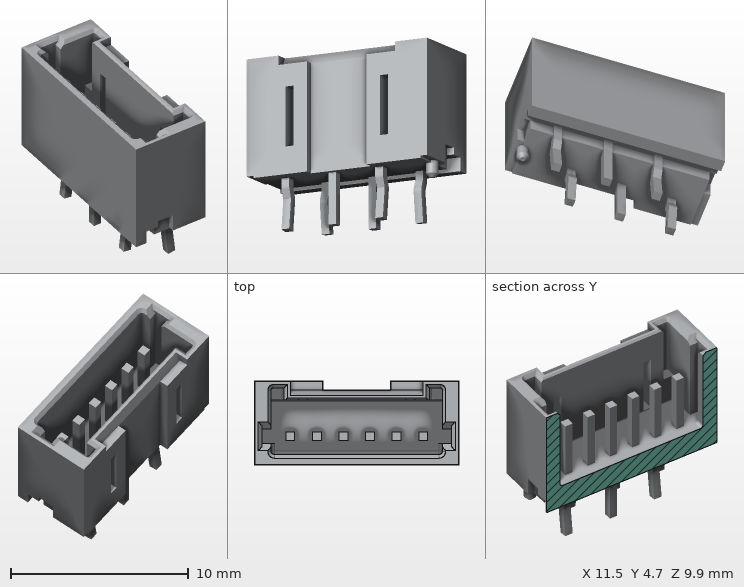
import cadquery as cq
import math


length = 11.5
width = 4.7
height = 6.9
half_length = length / 2

cavity_half_x = 4.82
cavity_front_y = 0.58
cavity_back_y = 3.66
floor_z = 1.5
front_radius = 0.2
back_floor_radius = 0.1

pocket_inner_x = 4.1
pocket_back_y = 4.31
pocket_floor_z = 3.27
pocket_floor_radius = 0.1
pocket_corner_radius = 0.1

rim_depth = 0.21
side_flare = 0.17
end_flare = 0.21
back_wall_flare = 0.1
front_rim_radius = 0.37
pocket_rim_radius = 0.3

key_half_x = 5.34
key_front_y = 1.21
key_back_y = 2.01
key_flare = 0.4

ledge_half_x = 3.73
ledge_y = 4.2
ledge_z = 6.36
ramp_top_y = 3.91
back_notch_half_x = 1.91
window_inner_x = 2.76
window_outer_x = 3.27
window_bottom_z = floor_z + back_floor_radius
window_top_z = 5.06

channel_front_y = 0.71
channel_back_y = 1.5
channel_height = 0.8
end_notch_depth = 0.43
end_notch_back_y = 2.51
end_notch_height = 1.21
end_relief_height = 0.13

peg_x = -5.23
peg_y = 3.09
peg_radius = 0.36
peg_tip_radius = 0.15
peg_cone_z = -0.6
peg_tip_z = -0.8

pin_count = 6
pin_pitch = 1.5
pin_size = 0.5
pin_top_z = 5.0
front_row_y = 1.61
row_spacing = 2.0
leg_bottom_z = -3.0
kinked_pins = (0, 1, 4, 5)
kink_start_z = -0.47
kink_angle = math.radians(20)
kink_run = 0.55
return_angle = math.radians(7)


def box(x0, x1, y0, y1, z0, z1):
    return cq.Workplane("XY").box(x1 - x0, y1 - y0, z1 - z0, centered=False).translate((x0, y0, z0))


def both_ends(solid):
    """The solid together with its mirror image at the other end of the housing."""
    return solid.union(solid.mirror("YZ"))


def frustum(x0, x1, y0, y1, flare_x, flare_y, depth):
    """Rectangle at the given depth below the top face, growing by the flares up to the top face."""
    size_x = x1 - x0
    size_y = y1 - y0
    return (
        cq.Workplane("XY", origin=((x0 + x1) / 2, (y0 + y1) / 2, height - depth))
        .rect(size_x, size_y)
        .workplane(offset=depth)
        .rect(size_x + 2 * flare_x, size_y + 2 * flare_y)
        .loft(ruled=True)
    )


def rounded_outline(half_x, y0, y1, front_r, back_r, z):
    """Rectangle with one corner radius at the front and another at the back."""
    front_cut = front_r * (1 - math.sqrt(0.5))
    back_cut = back_r * (1 - math.sqrt(0.5))
    return (
        cq.Workplane("XY", origin=(0, 0, z))
        .moveTo(-half_x + front_r, y0)
        .lineTo(half_x - front_r, y0)
        .threePointArc((half_x - front_cut, y0 + front_cut), (half_x, y0 + front_r))
        .lineTo(half_x, y1 - back_r)
        .threePointArc((half_x - back_cut, y1 - back_cut), (half_x - back_r, y1))
        .lineTo(-half_x + back_r, y1)
        .threePointArc((-half_x + back_cut, y1 - back_cut), (-half_x, y1 - back_r))
        .lineTo(-half_x, y0 + front_r)
        .threePointArc((-half_x + front_cut, y0 + front_cut), (-half_x + front_r, y0))
        .close()
        .wires()
        .val()
    )


def cavity_rim():
    """Flared mouth of the cavity and pockets, less the back wall standing between the pockets."""
    lower = rounded_outline(
        cavity_half_x,
        cavity_front_y,
        pocket_back_y,
        front_radius,
        pocket_corner_radius,
        height - rim_depth,
    )
    upper = rounded_outline(
        cavity_half_x + side_flare,
        cavity_front_y - end_flare,
        pocket_back_y + end_flare,
        front_rim_radius,
        pocket_rim_radius,
        height,
    )
    mouth = cq.Workplane(cq.Solid.makeLoft([lower, upper], True))
    back_wall = frustum(-pocket_inner_x, pocket_inner_x, cavity_back_y, width, -end_flare, 0, rim_depth)
    back_wall_chamfer = (
        cq.Workplane("YZ")
        .polyline(
            [
                (cavity_back_y, height - back_wall_flare),
                (cavity_back_y, height),
                (cavity_back_y + back_wall_flare, height),
            ]
        )
        .close()
        .extrude(pocket_inner_x, both=True)
    )
    return mouth.cut(back_wall).union(back_wall_chamfer)


def cavity():
    """Straight part of the cavity; only its front part has rounded corners and floor edges."""
    front = box(-cavity_half_x, cavity_half_x, cavity_front_y, key_front_y, floor_z, height - rim_depth)
    front = front.edges("|Z and <Y").fillet(front_radius)
    front = front.faces("<Z").edges("not >Y").fillet(front_radius)
    back = box(-cavity_half_x, cavity_half_x, key_front_y, cavity_back_y, floor_z, height - rim_depth)
    back = back.edges("<Z and >Y").fillet(back_floor_radius)
    return front.union(back)


def pocket():
    """Corner pocket at the +X end."""
    body = box(pocket_inner_x, cavity_half_x, cavity_back_y, pocket_back_y, pocket_floor_z, height - rim_depth)
    body = body.edges("|Z and >X and >Y").fillet(pocket_corner_radius)
    return body.edges("<Z and <X").fillet(pocket_floor_radius)


def key_slot():
    """Key slot at the +X end, with its flared mouth."""
    slot = box(0, key_half_x, key_front_y, key_back_y, floor_z, height)
    side_mouth = frustum(0, key_half_x + end_flare, key_front_y, key_back_y, 0, key_flare, key_flare)
    flared_front_y = key_front_y - key_flare
    flared_back_y = key_back_y + key_flare
    end_mouth = frustum(0, key_half_x, flared_front_y, flared_back_y, end_flare, 0, end_flare)
    end_limit = box(0, key_half_x, 0, width, 0, height).union(end_mouth)
    return slot.union(side_mouth.intersect(end_limit))


def back_ledge():
    """Material above the ledge and its ramp, on the outside of the back wall."""
    return (
        cq.Workplane("YZ")
        .polyline([(ledge_y, ledge_z), (width, ledge_z), (width, height), (ramp_top_y, height)])
        .close()
        .extrude(ledge_half_x, both=True)
    )


def back_notch():
    """Full-height notch across the middle of the back face."""
    return box(-back_notch_half_x, back_notch_half_x, ledge_y, width, 0, height)


def window():
    """Narrow slot through the back wall at the +X end, starting above the floor fillet."""
    return box(window_inner_x, window_outer_x, cavity_back_y, width, window_bottom_z, window_top_z)


def underside():
    """Cross channel behind the front wall, end-wall notches and the shallow relief behind them."""
    channel = box(-half_length, half_length, channel_front_y, channel_back_y, 0, channel_height)
    notch_x = half_length - end_notch_depth
    notch = box(notch_x, half_length, channel_front_y, end_notch_back_y, 0, channel_height)
    notch = notch.union(box(notch_x, half_length, channel_back_y, end_notch_back_y, 0, end_notch_height))
    relief = box(notch_x, half_length, end_notch_back_y, width, 0, end_relief_height)
    return channel.union(both_ends(notch.union(relief)))


def peg():
    """Round locating peg with a conical tip, rooted in the housing."""
    return (
        cq.Workplane("XZ", origin=(peg_x, peg_y, 0))
        .polyline(
            [
                (0, end_notch_height),
                (peg_radius, end_notch_height),
                (peg_radius, peg_cone_z),
                (peg_tip_radius, peg_tip_z),
                (0, peg_tip_z),
            ]
        )
        .close()
        .revolve(360, (0, 0, 0), (0, 1, 0))
    )


def kinked_leg():
    """Leg centred on the origin, bowed towards +Y; each bend turns about its inner corner."""
    half = pin_size / 2

    def around(corner, angle):
        return (corner[0] + pin_size * math.cos(angle), corner[1] + pin_size * math.sin(angle))

    first = (half, kink_start_z)
    first_mid = around(first, math.pi + kink_angle / 2)
    first_end = around(first, math.pi + kink_angle)
    second = (
        first_end[0] + kink_run * math.sin(kink_angle),
        first_end[1] - kink_run * math.cos(kink_angle),
    )
    second_start = around(second, kink_angle)
    second_mid = around(second, (kink_angle - return_angle) / 2)
    second_end = around(second, -return_angle)
    tip_run = (second_end[1] - leg_bottom_z) / math.cos(return_angle)
    tip_shift_y = -tip_run * math.sin(return_angle)
    return (
        cq.Workplane("YZ")
        .moveTo(half, floor_z)
        .lineTo(-half, floor_z)
        .lineTo(-half, kink_start_z)
        .threePointArc(first_mid, first_end)
        .lineTo(*second)
        .lineTo(second[0] + tip_shift_y, second[1] + leg_bottom_z - second_end[1])
        .lineTo(second_end[0] + tip_shift_y, leg_bottom_z)
        .lineTo(*second_end)
        .threePointArc(second_mid, second_start)
        .lineTo(*first)
        .close()
        .extrude(half, both=True)
    )


def contact(index):
    """Post in the cavity and its leg; legs alternate between the front and the back row."""
    half = pin_size / 2
    x = (index - (pin_count - 1) / 2) * pin_pitch
    in_back_row = index % 2 == 1
    if index in kinked_pins:
        leg = kinked_leg()
    else:
        leg = box(-half, half, -half, half, leg_bottom_z, floor_z)
    if in_back_row:
        leg = leg.mirror("XZ").translate((0, row_spacing, 0))
    post = box(-half, half, -half, half, channel_height, pin_top_z)
    return post.union(leg).translate((x, front_row_y, 0))


housing = box(-half_length, half_length, 0, width, 0, height)
housing = housing.cut(cavity()).cut(cavity_rim())
housing = housing.cut(both_ends(pocket())).cut(both_ends(key_slot()))
housing = housing.cut(back_ledge())
housing = housing.cut(back_notch())
housing = housing.cut(both_ends(window()))
housing = housing.cut(underside())

result = housing.union(peg())
for pin in range(pin_count):
    result = result.union(contact(pin))